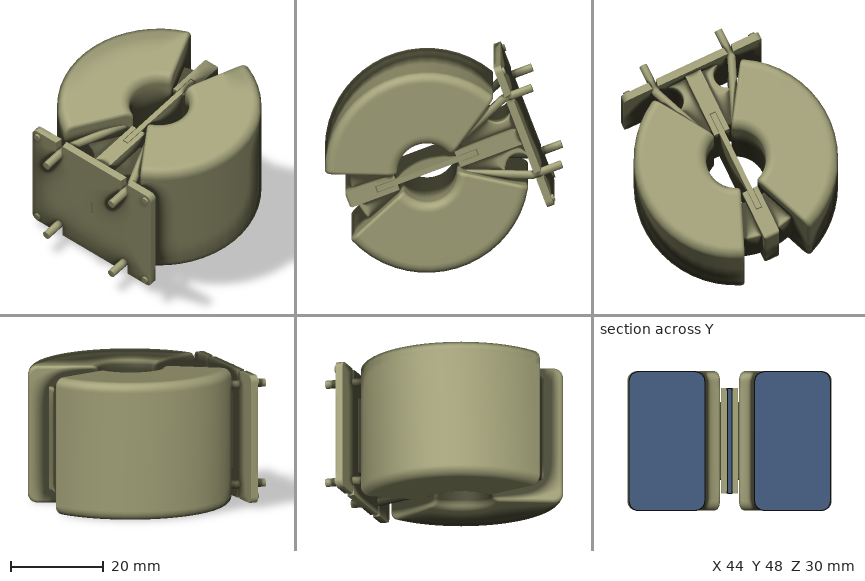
import cadquery as cq
import math

winding_outer_diameter = 44.0
winding_inner_radius = 6.45
winding_height = 30.0
winding_edge_radius = 2.0
winding_end_radius = 0.7
back_end_point = (2.05, 6.7)
back_end_tilt = 22
front_end_point = (2.35, -7.05)
front_end_tilt = 33

core_outer_radius = 16.8
core_inner_radius = 8.65
core_height = 16.8
core_edge_radius = 0.45

plate_width = 32.8
plate_height = 27.95
plate_back = -21.5
plate_thickness = 1.65
plate_corner_radius = 1.4
foot_spacing_x = 29.75
foot_spacing_z = 24.95
foot_radius = 0.75
foot_height = 0.5
seam_step = 3.85
seam_gap = 0.55
seam_depth = 0.1

web_half_width = 5.75
web_notch_radius = 2.9
web_notch_x = 6.75

rib_width = 3.6
rib_height = 22.65
rib_inner_y = 7.0
rib_back_y = 18.35
rib_end_radius = 0.6
slot_width = 1.45
slot_end_y = 11.7
slot_depth = 0.5
blade_width = 1.15
blade_end_y = 11.45

pin_diameter = 1.8
pin_x = 9.0
pin_z = 10.95
pin_tip = -27.6
pin_bend_offset = 0.5
pin_tilt = 22
lead_length = 14.4
pin_slot_back_width = 1.3
pin_slot_front_width = 1.85

fuse_overlap = 0.5
wedge_overshoot = 1.9

winding_outer_radius = winding_outer_diameter / 2
pin_radius = pin_diameter / 2
plate_front = plate_back - plate_thickness
pin_bend_y = plate_back + pin_bend_offset


def box(x_range, y_range, height):
    """Block centred on Z = 0."""
    x0, x1 = x_range
    y0, y1 = y_range
    centre = ((x0 + x1) / 2, (y0 + y1) / 2, 0)
    return cq.Workplane("XY").box(x1 - x0, y1 - y0, height).translate(centre)


def mirrored(shape, plane):
    """The shape joined with its mirror image."""
    return shape.union(shape.mirror(plane))


def point_along(point, tilt, distance):
    """Point on the straight winding end, measured outwards from the given point."""
    angle = math.radians(tilt)
    direction_y = math.copysign(math.cos(angle), point[1])
    return (point[0] + distance * math.sin(angle), point[1] + distance * direction_y)


def make_winding():
    """Winding on the +X side: a rounded ring cut off by two slanted planes."""
    ring = (
        cq.Workplane("XY")
        .circle(winding_outer_radius)
        .circle(winding_inner_radius)
        .extrude(winding_height / 2, both=True)
        .faces("|Z")
        .edges()
        .fillet(winding_edge_radius)
    )
    reach = 2 * winding_outer_radius
    wedge = (
        cq.Workplane("XY")
        .polyline([
            point_along(front_end_point, front_end_tilt, -wedge_overshoot),
            point_along(front_end_point, front_end_tilt, reach),
            (reach, 0),
            point_along(back_end_point, back_end_tilt, reach),
            point_along(back_end_point, back_end_tilt, -wedge_overshoot),
        ])
        .close()
        .extrude(winding_height, both=True)
    )
    winding = ring.intersect(wedge)
    ends = winding.faces("%PLANE").faces("not |Z")
    return winding.newObject(ends.edges().vals()).fillet(winding_end_radius)


def make_core():
    """Ring core with a waisted web that joins it to the base plate."""
    web_y_range = (plate_front + fuse_overlap, -core_inner_radius - fuse_overlap)
    web = box((-web_half_width, web_half_width), web_y_range, core_height)
    notch_y = plate_back + web_notch_radius
    notches = (
        cq.Workplane("XY")
        .pushPoints([(-web_notch_x, notch_y), (web_notch_x, notch_y)])
        .circle(web_notch_radius)
        .extrude(core_height, both=True)
    )
    ring = cq.Workplane("XY").circle(core_outer_radius).extrude(core_height / 2, both=True)
    bore = cq.Workplane("XY").circle(core_inner_radius).extrude(core_height, both=True)
    core = ring.union(web).cut(notches).cut(bore)
    return core.faces("|Z").edges().fillet(core_edge_radius)


def make_ribs():
    """Front and back ribs, slotted at their inner ends for the dividing blade."""
    half = rib_width / 2
    back = box((-half, half), (rib_inner_y, rib_back_y), rib_height)
    back = back.faces(">Y").edges().fillet(rib_end_radius)
    front = box((-half, half), (plate_front + fuse_overlap, -rib_inner_y), rib_height)
    slot = box((-slot_width / 2, slot_width / 2), (-slot_end_y, slot_end_y), slot_depth)
    slot_z = (rib_height - slot_depth) / 2
    ribs = back.union(front)
    for side in (-1, 1):
        ribs = ribs.cut(slot.translate((0, 0, side * slot_z)))
    blade = box((-blade_width / 2, blade_width / 2), (-blade_end_y, blade_end_y), rib_height)
    return ribs.union(blade)


def make_pin_slot():
    """Slot at +X, +Z, open at the plate's top edge and wider at its front face."""

    def profile(y, width):
        half = width / 2
        top = plate_height
        return (
            cq.Workplane("XZ", origin=(0, y, 0))
            .moveTo(pin_x - half, top)
            .lineTo(pin_x - half, pin_z)
            .threePointArc((pin_x, pin_z - half), (pin_x + half, pin_z))
            .lineTo(pin_x + half, top)
            .close()
            .wire()
            .val()
        )

    wires = [profile(plate_back, pin_slot_back_width), profile(plate_front, pin_slot_front_width)]
    return cq.Workplane(cq.Solid.makeLoft(wires, True))


def make_plate():
    """Base plate with four feet, pin slots and the gap at the middle of its stepped joint."""
    plate = (
        cq.Workplane("XZ", origin=(0, plate_back, 0))
        .rect(plate_width, plate_height)
        .extrude(plate_thickness)
        .edges("|Y")
        .fillet(plate_corner_radius)
    )
    feet = (
        cq.Workplane("XZ", origin=(0, plate_front, 0))
        .rect(foot_spacing_x, foot_spacing_z, forConstruction=True)
        .vertices()
        .circle(foot_radius)
        .extrude(foot_height)
    )
    seam = box((-seam_gap / 2, seam_gap / 2), (plate_front, plate_front + seam_depth), seam_step)
    slots = mirrored(mirrored(make_pin_slot(), "YZ"), "XY")
    return plate.cut(slots).cut(seam).union(feet)


def make_pin():
    """Pin at +X, +Z: straight through the plate, then slanting inwards to the winding."""
    bend = cq.Vector(pin_x, pin_bend_y, pin_z)
    angle = math.radians(pin_tilt)
    slant = cq.Vector(-math.sin(angle), math.cos(angle), 0)
    leg = cq.Solid.makeCylinder(pin_radius, pin_bend_y - pin_tip, bend, cq.Vector(0, -1, 0))
    lead = cq.Solid.makeCylinder(pin_radius, lead_length, bend, slant)
    elbow = cq.Workplane("XY").sphere(pin_radius).translate(bend.toTuple())
    return elbow.union(cq.Workplane(leg)).union(cq.Workplane(lead))


pins = mirrored(mirrored(make_pin(), "YZ"), "XY")
windings = mirrored(make_winding(), "YZ")
result = make_core().union(make_ribs()).union(make_plate()).union(windings).union(pins)